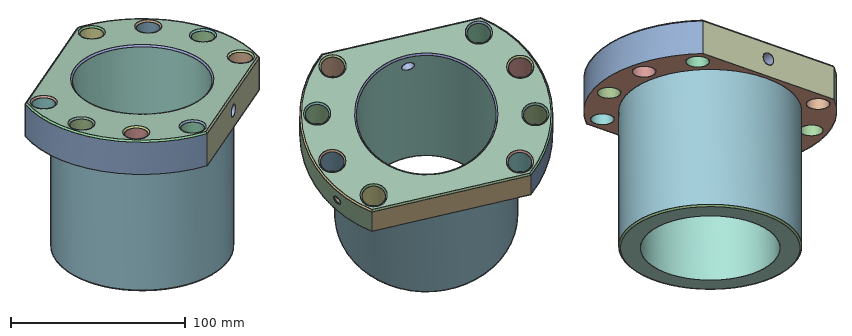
import cadquery as cq
import math

FLANGE_DIAMETER = 145.0
FLANGE_WIDTH = 110.0
FLANGE_THICKNESS = 22.0
TOTAL_HEIGHT = 110.0
BODY_DIAMETER = 105.0
BORE_DIAMETER = 80.0
EDGE_CHAMFER = 1.0

BOLT_HOLE_DIAMETER = 13.5
BOLT_CIRCLE_RADIUS = 62.5
BOLT_PITCH_ANGLE = 30.7
BOLTS_PER_GROUP = 4
BOLT_GROUP_ANGLES = (90.0, 270.0)

OIL_HOLE_DIAMETER = 7.5
OIL_HOLE_RISE = 0.3

SCREW_HOLE_DIAMETER = 5.0
SCREW_HOLE_ANGLE = 120.0
SCREW_HOLE_DEPTH = 14.5
SCREW_HOLE_CHAMFER = 0.51

flange_radius = FLANGE_DIAMETER / 2
flange_bottom = TOTAL_HEIGHT - FLANGE_THICKNESS
flange_middle = TOTAL_HEIGHT - FLANGE_THICKNESS / 2


def make_body():
    """Cylindrical barrel with a chamfered lower rim."""
    barrel = cq.Workplane("XY").circle(BODY_DIAMETER / 2).extrude(TOTAL_HEIGHT)
    return barrel.faces("<Z").chamfer(EDGE_CHAMFER)


def make_flange():
    """Round flange cut to two parallel flats, chamfered along its top edge."""
    base = cq.Workplane("XY", origin=(0, 0, flange_bottom))
    disc = base.circle(flange_radius).extrude(FLANGE_THICKNESS)
    flats = base.rect(FLANGE_WIDTH, FLANGE_DIAMETER).extrude(FLANGE_THICKNESS)
    return disc.intersect(flats).faces(">Z").chamfer(EDGE_CHAMFER)


def chamfered_hole(diameter, x=0.0, y=0.0):
    """Vertical through-hole cutter with a chamfered upper rim."""
    radius = diameter / 2
    rim_radius = radius + EDGE_CHAMFER
    return (
        cq.Workplane("XZ")
        .moveTo(0, 0)
        .lineTo(radius, 0)
        .lineTo(radius, TOTAL_HEIGHT - EDGE_CHAMFER)
        .lineTo(rim_radius, TOTAL_HEIGHT)
        .lineTo(0, TOTAL_HEIGHT)
        .close()
        .revolve(360, (0, 0, 0), (0, 1, 0))
        .translate((x, y, 0))
    )


def bolt_positions():
    """Centers of all bolt holes, each group spread evenly about its middle angle."""
    positions = []
    for group_angle in BOLT_GROUP_ANGLES:
        for index in range(BOLTS_PER_GROUP):
            steps_from_middle = index - (BOLTS_PER_GROUP - 1) / 2
            angle = math.radians(group_angle + steps_from_middle * BOLT_PITCH_ANGLE)
            positions.append((BOLT_CIRCLE_RADIUS * math.cos(angle), BOLT_CIRCLE_RADIUS * math.sin(angle)))
    return positions


def oil_hole():
    """Straight cutter from the bore axis along +X."""
    start = (0, 0, flange_middle + OIL_HOLE_RISE)
    return cq.Workplane("YZ", origin=start).circle(OIL_HOLE_DIAMETER / 2).extrude(flange_radius)


def screw_hole():
    """Radial blind-hole cutter with a chamfered mouth, at mid-flange height."""
    radius = SCREW_HOLE_DIAMETER / 2
    inner_end = flange_radius - SCREW_HOLE_DEPTH
    return (
        cq.Workplane("XY")
        .moveTo(inner_end, 0)
        .lineTo(inner_end, radius)
        .lineTo(flange_radius - SCREW_HOLE_CHAMFER, radius)
        .lineTo(flange_radius, radius + SCREW_HOLE_CHAMFER)
        .lineTo(flange_radius, 0)
        .close()
        .revolve(360, (0, 0, 0), (1, 0, 0))
        .translate((0, 0, flange_middle))
        .rotate((0, 0, 0), (0, 0, 1), SCREW_HOLE_ANGLE)
    )


result = make_body().union(make_flange())
result = result.cut(chamfered_hole(BORE_DIAMETER))
for bolt_x, bolt_y in bolt_positions():
    result = result.cut(chamfered_hole(BOLT_HOLE_DIAMETER, bolt_x, bolt_y))
result = result.cut(oil_hole())
result = result.cut(screw_hole())